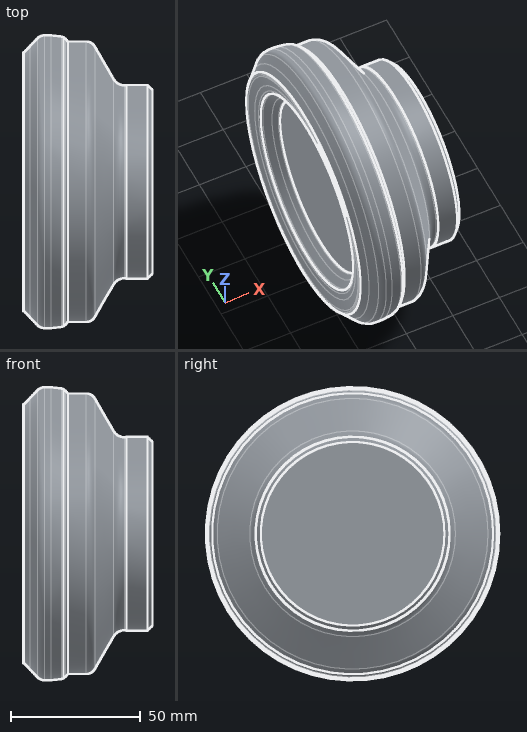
import cadquery as cq
import math

length = 50.0
ring_radius = 56.6
joint_x = 17.3

crest_inner_radius = 49.0
crest_outer_radius = 49.6
crest_round = 0.5
bevel_mid_x = 2.8
bevel_mid_radius = 52.5
bevel_end_x = 5.5
bevel_end_radius = 55.4
rim_round_mid_x = 6.6
rim_round_mid_radius = 56.2
rim_start_x = 8.3
rim_end_x = 10.8
rim_back_radius = 56.2
rim_back_x = 14.8
rim_heel_start_x = 15.7
rim_heel_start_radius = 55.8
rim_heel_end_x = 16.4
rim_heel_end_radius = 55.3
dish_edge_x = 0.2
dish_edge_radius = 48.2
dish_mid_x = 1.0
dish_mid_radius = 44.2
dish_end_x = 1.5
dish_end_radius = 41.8
opening_x = 1.8
opening_radius = 40.5
throat_x = 2.5
throat_radius = 40.1
throat_mid_x = 5.2
throat_mid_radius = 37.6
throat_end_x = 7.1
throat_end_radius = 35.9

floor_x = 7.7
plug_radius = 35.5
shoulder_radius = 108.5 / 2
shoulder_end_x = 24.3
shoulder_blend = 4.0
neck_angle = math.radians(60)
neck_radius = 74.6 / 2
neck_blend = 4.8
collar_radius = 75.0 / 2
collar_start_x = 40.0
end_chamfer = 2.0
chamfer_start_x = length - end_chamfer


def turned(profile):
    """Revolve a closed (x, radius) profile about the X axis."""
    return profile.close().revolve(360, (0, 0, 0), (1, 0, 0))


def make_ring():
    profile = (
        cq.Workplane("XY")
        .moveTo(joint_x, plug_radius)
        .lineTo(floor_x, plug_radius)
        .lineTo(throat_end_x, throat_end_radius)
        .lineTo(throat_mid_x, throat_mid_radius)
        .lineTo(throat_x, throat_radius)
        .lineTo(opening_x, opening_radius)
        .lineTo(dish_end_x, dish_end_radius)
        .lineTo(dish_mid_x, dish_mid_radius)
        .lineTo(dish_edge_x, dish_edge_radius)
        .lineTo(0, crest_inner_radius)
        .lineTo(0, crest_outer_radius)
        .tangentArcPoint((crest_round, crest_round))
        .lineTo(bevel_mid_x, bevel_mid_radius)
        .lineTo(bevel_end_x, bevel_end_radius)
        .threePointArc((rim_round_mid_x, rim_round_mid_radius), (rim_start_x, ring_radius))
        .lineTo(rim_end_x, ring_radius)
        .lineTo(rim_back_x, rim_back_radius)
        .lineTo(rim_heel_start_x, rim_heel_start_radius)
        .lineTo(rim_heel_end_x, rim_heel_end_radius)
        .lineTo(joint_x, shoulder_radius)
    )
    return turned(profile)


def blend_offset(radius, angle):
    """Axial and radial travel from a blend's axial tangent to a given slope angle."""
    return radius * math.sin(angle), radius * (1 - math.cos(angle))


def make_housing():
    end_dx, end_dr = blend_offset(shoulder_blend, neck_angle)
    mid_dx, mid_dr = blend_offset(shoulder_blend, neck_angle / 2)
    cone_start = (shoulder_end_x + end_dx, shoulder_radius - end_dr)
    shoulder_mid = (shoulder_end_x + mid_dx, shoulder_radius - mid_dr)

    foot_dx, foot_dr = blend_offset(neck_blend, neck_angle)
    foot_mid_dx, foot_mid_dr = blend_offset(neck_blend, neck_angle / 2)
    cone_end_radius = neck_radius + foot_dr
    cone_end_x = cone_start[0] + (cone_start[1] - cone_end_radius) / math.tan(neck_angle)
    foot_end_x = cone_end_x + foot_dx
    foot_mid = (foot_end_x - foot_mid_dx, neck_radius + foot_mid_dr)

    profile = (
        cq.Workplane("XY")
        .moveTo(floor_x, 0)
        .lineTo(floor_x, plug_radius)
        .lineTo(joint_x, plug_radius)
        .lineTo(joint_x, shoulder_radius)
        .lineTo(shoulder_end_x, shoulder_radius)
        .threePointArc(shoulder_mid, cone_start)
        .lineTo(cone_end_x, cone_end_radius)
        .threePointArc(foot_mid, (foot_end_x, neck_radius))
        .lineTo(collar_start_x, neck_radius)
        .lineTo(collar_start_x, collar_radius)
        .lineTo(chamfer_start_x, collar_radius)
        .lineTo(length, collar_radius - end_chamfer)
        .lineTo(length, 0)
    )
    return turned(profile)


ring = make_ring()
housing = make_housing()
result = cq.Compound.makeCompound([ring.val(), housing.val()])